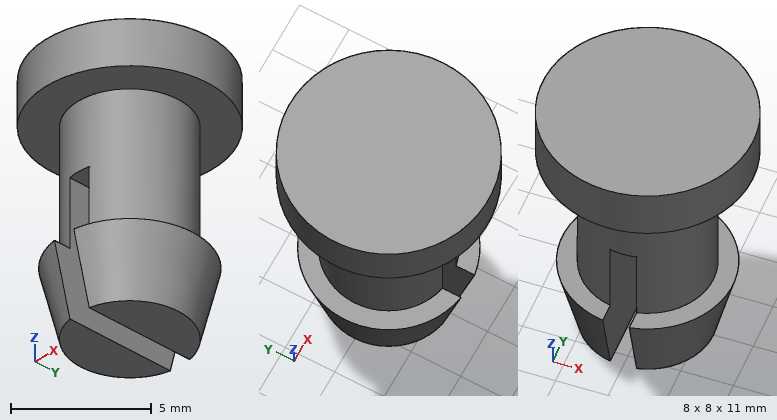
import cadquery as cq

total_height = 11.0
head_diameter = 8.0
head_thickness = 2.0
shank_diameter = 5.0
barb_diameter = 6.49
barb_height = 3.0
slot_width = 1.0
slot_height = 6.0

head_radius = head_diameter / 2
shank_radius = shank_diameter / 2
barb_radius = barb_diameter / 2
head_bottom = total_height - head_thickness


def make_pin():
    """Revolve the half profile of tapered barb, shank and flat head about Z."""
    return (
        cq.Workplane("XZ")
        .moveTo(0, 0)
        .lineTo(shank_radius, 0)
        .lineTo(barb_radius, barb_height)
        .lineTo(shank_radius, barb_height)
        .lineTo(shank_radius, head_bottom)
        .lineTo(head_radius, head_bottom)
        .lineTo(head_radius, total_height)
        .lineTo(0, total_height)
        .close()
        .revolve(360, (0, 0, 0), (0, 1, 0))
    )


def make_slot():
    """Slot along Y that splits the lower end into two spring legs."""
    return cq.Workplane("XY").box(
        slot_width, head_diameter, slot_height, centered=(True, True, False)
    )


result = make_pin().cut(make_slot())